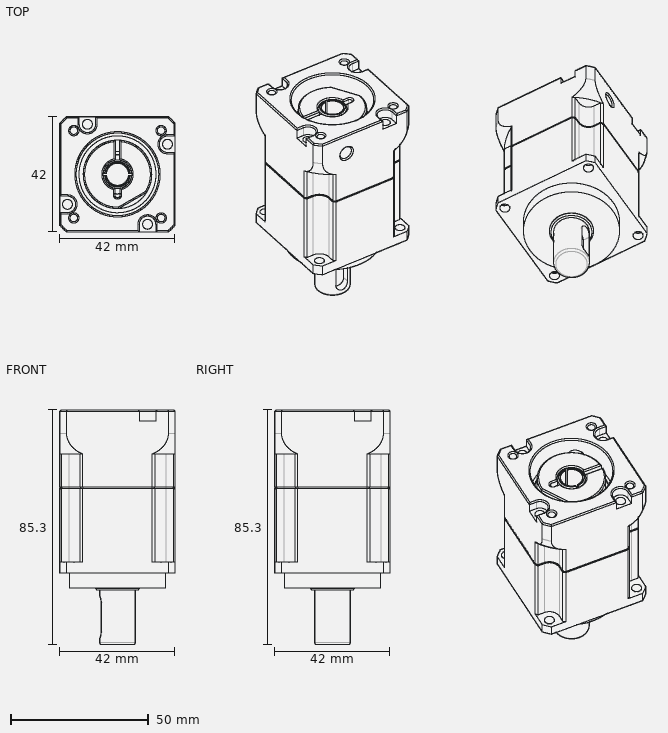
import cadquery as cq
import math

total_height = 85.3
body_side = 42.0
half_side = body_side / 2
edge_break = 0.5

pilot_bottom = 20.55
flange_bottom = 26.0
flange_top = 30.0
joint_height = 56.7
head_bottom = 69.3
head_round_top = 76.8

corner_radius = 28.0
recess_wall = 13.6
recess_radius = 4.1
mouth_bevel_width = 0.9
mouth_bevel_depth = 0.7

pilot_radius = 17.5
flange_hole_radius = 1.8
flange_hole_offset = 17.65

shaft_radius = 6.5
shaft_end_round = 0.8
journal_chamfer = 0.6
journal_radius = 8.0
journal_bottom = 19.8
key_width = 5.0
key_bottom = 2.1
key_top = 17.8
key_depth = 3.0

bore_radius = 15.0
bore_depth = 11.9
step_radius = 14.0
step_depth = 12.8
relief_radius = 8.4
relief_depth = 2.6
input_hole_radius = 7.25
corner_hole_radius = 1.4
corner_hole_depth = 8.0
corner_hole_offset = 15.9
drill_point_half_angle = 59.0
pocket_radius = 3.0
pocket_depth = 4.0
pocket_offset_along = 10.9
pocket_offset_out = 18.2
pocket_hole_radius = 1.8
wrench_hole_radius = 2.5
wrench_hole_height = 77.0

collar_radius = 12.45
collar_bore_radius = 5.2
collar_top = 81.5
collar_bottom = 71.4
collar_slot_width = 1.4
relief_slot_width = 1.9
relief_slot_end = 8.5
flat_distance = 11.0
flat_angle = -60.0
screw_offset = 8.0
screw_height = 76.7
screw_hole_radius = 2.05
screw_head_radius = 3.1
screw_seat_distance = 4.3

input_bore_radius = 4.0
input_bore_break = 0.25
shoulder_radius = 7.1
slit_width = 0.8

QUARTER_TURNS = [0, 90, 180, 270]


def cylinder(radius, bottom, top, x=0.0, y=0.0):
    """Upright cylinder between two heights."""
    return cq.Workplane("XY", origin=(x, y, bottom)).circle(radius).extrude(top - bottom)


def cone(bottom_radius, top_radius, bottom, top, x=0.0, y=0.0):
    """Upright truncated cone between two heights."""
    solid = cq.Solid.makeCone(bottom_radius, top_radius, top - bottom, cq.Vector(x, y, bottom))
    return cq.Workplane(solid)


def square_block(bottom, top):
    """Square block with its vertical corners turned round the axis."""
    block = cq.Workplane("XY", origin=(0, 0, bottom)).rect(body_side, body_side).extrude(top - bottom)
    return block.intersect(cylinder(corner_radius, bottom, top))


def cut_at_quarter_turns(body, cutter):
    """Cut four copies of the cutter, spaced evenly around the axis."""
    for angle in QUARTER_TURNS:
        body = body.cut(cutter.rotate((0, 0, 0), (0, 0, 1), angle))
    return body


def corner_recess(bottom, top):
    """Cutter for the +X +Y corner: rounded inner corner and bevelled mouth."""
    mouth = recess_wall - mouth_bevel_width
    arc_start = recess_wall + recess_radius
    arc_middle = arc_start - recess_radius / math.sqrt(2)
    bevel_end = half_side - mouth_bevel_depth
    return (
        cq.Workplane("XY", origin=(0, 0, bottom))
        .moveTo(half_side, mouth)
        .lineTo(bevel_end, recess_wall)
        .lineTo(arc_start, recess_wall)
        .threePointArc((arc_middle, arc_middle), (recess_wall, arc_start))
        .lineTo(recess_wall, bevel_end)
        .lineTo(mouth, half_side)
        .lineTo(half_side, half_side)
        .close()
        .extrude(top - bottom)
    )


def make_gear_case():
    case = square_block(flange_bottom, joint_height)
    case = cut_at_quarter_turns(case, corner_recess(flange_top, joint_height))
    case = case.union(cylinder(pilot_radius, pilot_bottom, flange_bottom))
    flange_hole = cylinder(
        flange_hole_radius, flange_bottom, flange_top, flange_hole_offset, flange_hole_offset
    )
    case = cut_at_quarter_turns(case, flange_hole)
    return case.cut(cylinder(journal_radius, pilot_bottom, flange_top))


def head_underside_round():
    """Turned cutter that rounds the head corners in to the recess mouths below them."""
    inner_radius = math.hypot(half_side, recess_wall - mouth_bevel_width)
    drop = head_round_top - head_bottom
    inset = corner_radius - inner_radius
    round_radius = (drop**2 + inset**2) / (2 * inset)
    half_sweep = math.asin(drop / round_radius) / 2
    arc_middle = (
        corner_radius - round_radius * (1 - math.cos(half_sweep)),
        head_round_top - round_radius * math.sin(half_sweep),
    )
    beyond_corner = half_side * math.sqrt(2)
    return (
        cq.Workplane("XZ")
        .moveTo(corner_radius, head_round_top)
        .threePointArc(arc_middle, (inner_radius, head_bottom))
        .lineTo(beyond_corner, head_bottom)
        .lineTo(beyond_corner, head_round_top)
        .close()
        .revolve(360, (0, 0, 0), (0, 1, 0))
    )


def bolt_pocket():
    """Cutter for the pocket open to the -Y side."""
    bottom = total_height - pocket_depth
    round_end = cylinder(pocket_radius, bottom, total_height, pocket_offset_along, -pocket_offset_out)
    mouth_length = half_side - pocket_offset_out
    mouth = cq.Workplane("XY").box(
        2 * pocket_radius, mouth_length, pocket_depth, centered=(True, False, False)
    )
    return round_end.union(mouth.translate((pocket_offset_along, -half_side, bottom)))


def tapped_corner_hole():
    """Cutter for a countersunk blind hole with a drill point."""
    place = (corner_hole_offset, corner_hole_offset)
    bottom = total_height - corner_hole_depth
    point_depth = corner_hole_radius / math.tan(math.radians(drill_point_half_angle))
    hole = cylinder(corner_hole_radius, bottom, total_height, *place)
    point = cone(0, corner_hole_radius, bottom - point_depth, bottom, *place)
    mouth_radius = corner_hole_radius + edge_break
    countersink = cone(corner_hole_radius, mouth_radius, total_height - edge_break, total_height, *place)
    return hole.union(point).union(countersink)


def wrench_hole():
    """Cutter for the chamfered hole that reaches the clamp screw from the -X side."""
    side_plane = cq.Workplane("YZ", origin=(-half_side, screw_offset, wrench_hole_height))
    hole = side_plane.circle(wrench_hole_radius).extrude(half_side)
    mouth = cq.Solid.makeCone(
        wrench_hole_radius + edge_break,
        wrench_hole_radius,
        edge_break,
        cq.Vector(-half_side, screw_offset, wrench_hole_height),
        cq.Vector(1, 0, 0),
    )
    return hole.union(cq.Workplane(mouth))


def make_input_housing():
    housing = square_block(joint_height, total_height)
    housing = cut_at_quarter_turns(housing, corner_recess(joint_height, head_bottom))
    housing = housing.cut(head_underside_round())
    housing = housing.faces("<Z").edges().chamfer(edge_break)

    housing = housing.cut(cylinder(bore_radius, total_height - bore_depth, total_height))
    housing = cut_at_quarter_turns(housing, bolt_pocket())
    housing = housing.faces(">Z").edges().chamfer(edge_break)

    housing = housing.cut(cylinder(step_radius, total_height - step_depth, total_height))
    housing = housing.cut(cylinder(collar_radius, collar_bottom, total_height))
    housing = housing.cut(cylinder(relief_radius, collar_bottom - relief_depth, collar_bottom))
    housing = housing.cut(cylinder(input_hole_radius, joint_height, collar_bottom))

    bolt_hole = cylinder(
        pocket_hole_radius, joint_height, total_height, pocket_offset_along, -pocket_offset_out
    )
    housing = cut_at_quarter_turns(housing, bolt_hole)
    housing = cut_at_quarter_turns(housing, tapped_corner_hole())
    return housing.cut(wrench_hole())


def make_output_shaft():
    shaft = cylinder(shaft_radius, 0, journal_bottom).faces("<Z").edges().fillet(shaft_end_round)
    journal = cylinder(journal_radius, journal_bottom, flange_top).faces("<Z").chamfer(journal_chamfer)
    shaft = shaft.union(journal)
    keyway = (
        cq.Workplane("YZ", origin=(-shaft_radius, 0, (key_bottom + key_top) / 2))
        .slot2D(key_top - key_bottom, key_width, 90)
        .extrude(key_depth)
    )
    return shaft.cut(keyway)


def make_clamp_collar():
    height = collar_top - collar_bottom
    collar = cylinder(collar_radius, collar_bottom, collar_top)
    collar = collar.cut(cylinder(collar_bore_radius, collar_bottom, collar_top))

    base = cq.Workplane("XY", origin=(0, 0, collar_bottom))
    clamp_slot = base.center(0, collar_radius / 2).rect(collar_slot_width, collar_radius).extrude(height)
    relief_slot = base.slot2D(2 * relief_slot_end, relief_slot_width, 90).extrude(height)
    relief_slot = relief_slot.intersect(
        base.center(0, -collar_radius / 2).rect(collar_radius, collar_radius).extrude(height)
    )
    flat = base.center(flat_distance + collar_radius / 2, 0).rect(collar_radius, 2 * collar_radius)
    flat = flat.extrude(height).rotate((0, 0, 0), (0, 0, 1), flat_angle)
    collar = collar.cut(clamp_slot).cut(relief_slot).cut(flat)
    collar = collar.faces(">Z").edges().chamfer(edge_break)

    screw_plane = cq.Workplane("YZ", origin=(0, screw_offset, screw_height))
    screw_hole = screw_plane.circle(screw_hole_radius).extrude(collar_radius, both=True)
    seat = screw_plane.workplane(offset=-collar_radius).circle(screw_head_radius)
    return collar.cut(screw_hole).cut(seat.extrude(collar_radius - screw_seat_distance))


def make_input_shaft():
    sleeve = cylinder(collar_bore_radius, joint_height, collar_top).faces(">Z").chamfer(edge_break)
    shoulder = cylinder(shoulder_radius, joint_height, collar_bottom)
    shaft = sleeve.union(shoulder)
    shaft = shaft.cut(cylinder(input_bore_radius, collar_bottom, collar_top))
    mouth_radius = input_bore_radius + input_bore_break
    mouth = cone(input_bore_radius, mouth_radius, collar_top - input_bore_break, collar_top)
    slits = cq.Workplane("XY").box(
        2 * collar_bore_radius, slit_width, collar_top - collar_bottom, centered=(True, True, False)
    )
    return shaft.cut(mouth).cut(slits.translate((0, 0, collar_bottom)))


gear_case = make_gear_case()
input_housing = make_input_housing()
output_shaft = make_output_shaft()
clamp_collar = make_clamp_collar()
input_shaft = make_input_shaft()

result = cq.Compound.makeCompound(
    [
        gear_case.val(),
        input_housing.val(),
        output_shaft.val(),
        clamp_collar.val(),
        input_shaft.val(),
    ]
)